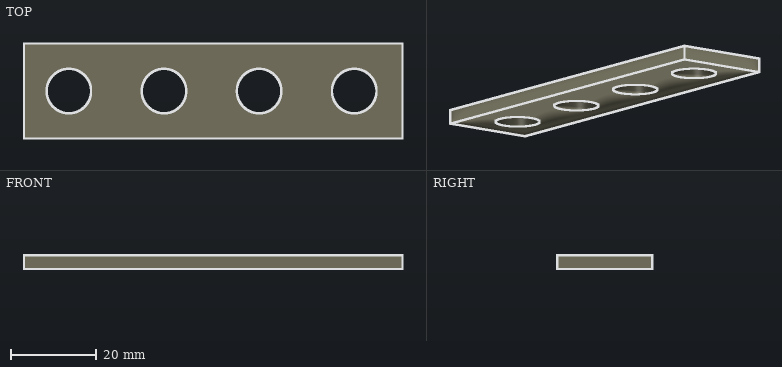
import cadquery as cq

length = 88.9
width = 22.3
thickness = 3.3

hole_count = 4
hole_diameter = 10.4
hole_pitch = width
first_hole_from_end = 10.6

first_hole_x = first_hole_from_end - length / 2
hole_centres = [(first_hole_x + i * hole_pitch, 0) for i in range(hole_count)]

bar = cq.Workplane("XY").box(length, width, thickness)
result = bar.faces(">Z").workplane().pushPoints(hole_centres).hole(hole_diameter)